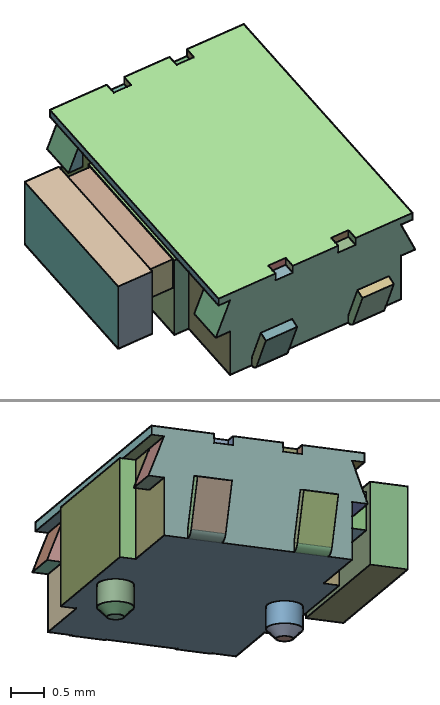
import cadquery as cq
import math


span_x = 5.5
span_y = 4.55
span_z = 2.2

body_x = 4.7
core_y = 3.0
rib_x = 2.4
ribbed_y = 3.5
lid_y = 3.4
lid_thickness = 0.145
peg_length = 0.5
top_z = span_z - peg_length
body_z = top_z - lid_thickness

wedge_x = 0.6
wedge_z = 0.65

notch_depth = 0.2
notch_width = 0.3
notch_offset = 0.55

head_x = 2.605
head_y = 0.6
head_z = 1.305
head_bottom = 0.35
stem_x = 2.3
stem_z = 0.6
stem_bottom = 0.94

leg_width = 0.55
leg_thickness = 0.15
leg_offset = 0.845
leg_lean = math.radians(19)

peg_diameter = 0.55
peg_chamfer = 0.15
peg_offset = 1.35


def block(x, y, z, bottom=0.0):
    """Box centred in X and Y, standing on the given height."""
    return cq.Workplane("XY", origin=(0, 0, bottom)).box(x, y, z, centered=(True, True, False))


def make_body():
    core = block(body_x, core_y, body_z)
    rib = block(rib_x, ribbed_y, body_z)
    return core.union(rib)


def make_wedges():
    """Sloping wedges that reach from the core, under the lid, out to the rib face."""
    profile = [
        (-core_y / 2, body_z),
        (-ribbed_y / 2, body_z - wedge_z),
        (ribbed_y / 2, body_z - wedge_z),
        (core_y / 2, body_z),
    ]
    right = (
        cq.Workplane("YZ", origin=(body_x / 2 - wedge_x, 0, 0))
        .polyline(profile)
        .close()
        .extrude(wedge_x)
    )
    return right.union(right.mirror("YZ"))


def make_lid():
    lid = block(body_x, lid_y, lid_thickness, body_z)
    notch_centres = [
        (side_x * body_x / 2, side_y * notch_offset) for side_x in (-1, 1) for side_y in (-1, 1)
    ]
    notches = (
        cq.Workplane("XY", origin=(0, 0, body_z))
        .pushPoints(notch_centres)
        .rect(2 * notch_depth, notch_width)
        .extrude(lid_thickness)
    )
    return lid.cut(notches)


def make_button():
    head_front = ribbed_y / 2 - span_y
    head_back = head_front + head_y
    stem_y = -ribbed_y / 2 - head_back
    head = block(head_x, head_y, head_z, head_bottom).translate((0, head_back - head_y / 2, 0))
    stem = block(stem_x, stem_y, stem_z, stem_bottom).translate((0, head_back + stem_y / 2, 0))
    return head.union(stem)


def make_legs():
    """Strips that bend up about the lower body edge and lean outwards."""
    bend_x = body_x / 2
    bend_z = leg_thickness

    def on_bend(angle):
        """Point on the outside of the bend, at an angle below the horizontal."""
        return bend_x + leg_thickness * math.cos(angle), bend_z - leg_thickness * math.sin(angle)

    bend_end = on_bend(leg_lean)
    rise_x = span_x / 2 - bend_end[0]
    rise_z = rise_x / math.tan(leg_lean)
    profile = (
        cq.Workplane("XZ")
        .moveTo(bend_x, 0)
        .threePointArc(on_bend((math.pi / 2 + leg_lean) / 2), bend_end)
        .line(rise_x, rise_z)
        .lineTo(bend_x + rise_x, bend_z + rise_z)
        .lineTo(bend_x, bend_z)
        .close()
    )
    leg = profile.extrude(leg_width / 2, both=True)
    front_leg = leg.translate((0, -leg_offset, 0))
    back_leg = leg.translate((0, leg_offset, 0))
    right_legs = front_leg.union(back_leg)
    return right_legs.union(right_legs.mirror("YZ"))


def make_pegs():
    return (
        cq.Workplane("XY")
        .pushPoints([(0, -peg_offset), (0, peg_offset)])
        .circle(peg_diameter / 2)
        .extrude(-peg_length)
        .faces("<Z")
        .chamfer(peg_chamfer)
    )


result = (
    make_body()
    .union(make_wedges())
    .union(make_lid())
    .union(make_button())
    .union(make_legs())
    .union(make_pegs())
)